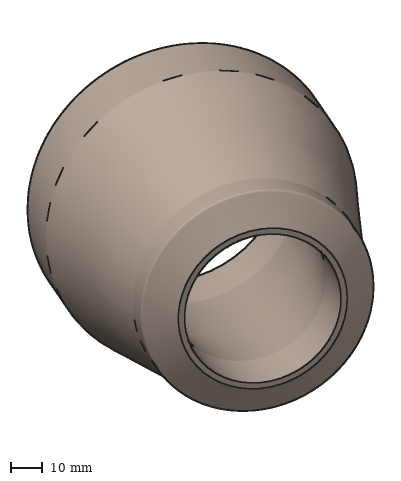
import cadquery as cq
import math

length = 100.0
large_diameter = 101.6
small_diameter = 76.1
large_bore = 69.6
small_bore = 51.1

large_end_length = 30.0
small_end_length = 15.0
straight_bore_length = 17.1

land_width = 2.0
bevel_angle = 30.0
edge_radius = 1.0
selection_margin = 0.1

large_radius = large_diameter / 2
small_radius = small_diameter / 2
large_bore_radius = large_bore / 2
small_bore_radius = small_bore / 2
taper_end = length - small_end_length


def bevel_length(outer_radius, land_radius):
    """Axial length of a bevel between the flat land and the outside."""
    return (outer_radius - land_radius) * math.tan(math.radians(bevel_angle))


large_land_radius = large_bore_radius + land_width
small_land_radius = small_bore_radius + land_width
large_bevel_end = bevel_length(large_radius, large_land_radius)
small_bevel_start = length - bevel_length(small_radius, small_land_radius)

wall_section = (
    cq.Workplane("XY")
    .moveTo(0, large_land_radius)
    .lineTo(large_bevel_end, large_radius)
    .lineTo(large_end_length, large_radius)
    .lineTo(taper_end, small_radius)
    .lineTo(small_bevel_start, small_radius)
    .lineTo(length, small_land_radius)
    .lineTo(length, small_bore_radius)
    .lineTo(length - straight_bore_length, small_bore_radius)
    .lineTo(straight_bore_length, large_bore_radius)
    .lineTo(0, large_bore_radius)
    .close()
)
reducer = wall_section.revolve(360, (0, 0, 0), (1, 0, 0))


def round_outer_edge(body, x):
    """Round the circular outer edge that lies at x."""
    reach = large_radius + selection_margin
    edge_finder = cq.selectors.BoxSelector(
        (x - selection_margin, -reach, -reach),
        (x + selection_margin, reach, reach),
    )
    return body.edges(edge_finder).fillet(edge_radius)


for edge_x in (large_bevel_end, large_end_length, taper_end, small_bevel_start):
    reducer = round_outer_edge(reducer, edge_x)

result = reducer